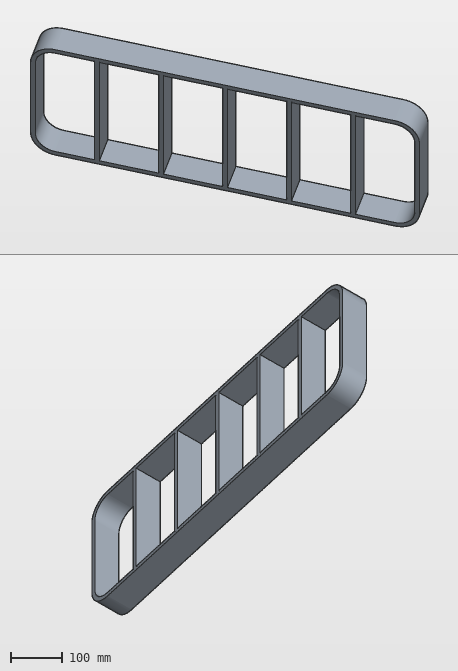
import cadquery as cq

LENGTH = 793.0
DEPTH = 60.0
HEIGHT = 298.0
WALL = 10.0
CORNER_RADIUS = 50.0
DIVIDER_COUNT = 5

INNER_LENGTH = LENGTH - 2 * WALL
INNER_HEIGHT = HEIGHT - 2 * WALL
BAY_WIDTH = (INNER_LENGTH - DIVIDER_COUNT * WALL) / (DIVIDER_COUNT + 1)
DIVIDER_PITCH = BAY_WIDTH + WALL


def rounded_block(length, height, radius):
    """Block centred on the origin with its four edges along Y rounded."""
    return cq.Workplane("XY").box(length, DEPTH, height).edges("|Y").fillet(radius)


def make_frame():
    """Rounded rectangular ring of constant wall thickness, open along Y."""
    outside = rounded_block(LENGTH, HEIGHT, CORNER_RADIUS)
    opening = rounded_block(INNER_LENGTH, INNER_HEIGHT, CORNER_RADIUS - WALL)
    return outside.cut(opening)


def make_divider(index):
    """Upright plate joining the bottom of the frame to its top."""
    x = (index - (DIVIDER_COUNT - 1) / 2) * DIVIDER_PITCH
    return cq.Workplane("XY").box(WALL, DEPTH, INNER_HEIGHT).translate((x, 0, 0))


result = make_frame()
for divider_index in range(DIVIDER_COUNT):
    result = result.union(make_divider(divider_index))